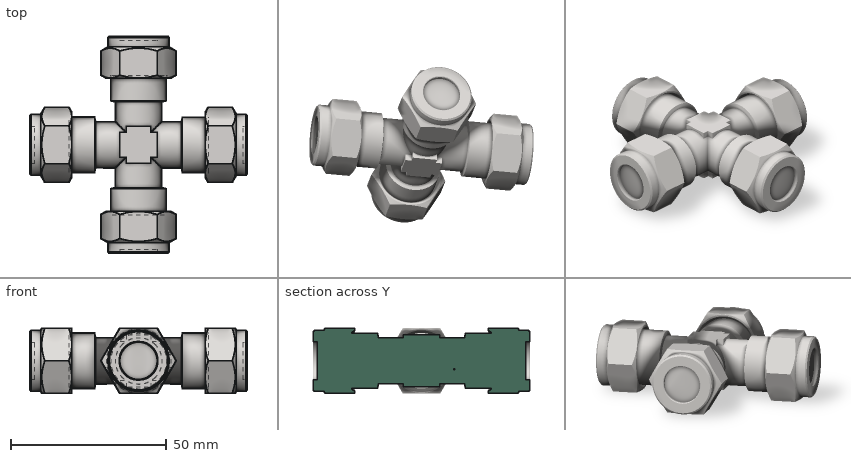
import cadquery as cq
import math

end_distance = 35.0

body_radius = 7.5
shoulder_radius = 8.95
collar_radius = 9.9
bore_radius = 6.0

shoulder_start = 13.8
shoulder_full = 14.15
nut_start = 21.4
nut_end = 31.5

nut_across_flats = 21.0
nut_inner_face_radius = 10.35
nut_outer_face_radius = collar_radius
nut_chamfer_angle = 30.0
nut_recess_radius = 9.8
nut_recess_depth = 1.05

collar_chamfer = 0.5
bore_depth = 1.4
bore_chamfer = 0.2

pad_length = 12.05
pad_width = 8.0
pad_height = 8.4

nut_corner_radius = nut_across_flats / 2 / math.cos(math.radians(30))


def corner_chamfer_height(face_radius):
    """Height of the conical chamfer from the nut face up to the hexagon corner."""
    return (nut_corner_radius - face_radius) * math.tan(math.radians(nut_chamfer_angle))


def revolve_profile(points):
    """Turn a closed (radius, distance along arm) profile around the Z axis."""
    return cq.Workplane("XZ").polyline(points).close().revolve(360, (0, 0, 0), (0, 1, 0))


def make_nut():
    """Hexagon nut along +Z: corners turned off at both ends, conical recess around the shoulder."""
    hexagon = (
        cq.Workplane("XY", origin=(0, 0, nut_start))
        .polygon(6, 2 * nut_corner_radius)
        .extrude(nut_end - nut_start)
    )
    turned_envelope = revolve_profile([
        (0, nut_start),
        (nut_inner_face_radius, nut_start),
        (nut_corner_radius, nut_start + corner_chamfer_height(nut_inner_face_radius)),
        (nut_corner_radius, nut_end - corner_chamfer_height(nut_outer_face_radius)),
        (nut_outer_face_radius, nut_end),
        (0, nut_end),
    ])
    recess = revolve_profile([
        (0, nut_start),
        (nut_recess_radius, nut_start),
        (shoulder_radius, nut_start + nut_recess_depth),
        (0, nut_start + nut_recess_depth),
    ])
    return hexagon.intersect(turned_envelope).cut(recess)


def make_core():
    """Round parts of one arm along +Z: body, shoulder and chamfered end collar."""
    return revolve_profile([
        (0, 0),
        (body_radius, 0),
        (body_radius, shoulder_start),
        (shoulder_radius, shoulder_full),
        (shoulder_radius, nut_end),
        (collar_radius, nut_end),
        (collar_radius, end_distance - collar_chamfer),
        (collar_radius - collar_chamfer, end_distance),
        (0, end_distance),
    ])


def make_bore():
    """Shallow blind bore in the end face, with a chamfered mouth."""
    return revolve_profile([
        (0, end_distance - bore_depth),
        (bore_radius, end_distance - bore_depth),
        (bore_radius, end_distance - bore_chamfer),
        (bore_radius + bore_chamfer, end_distance),
        (0, end_distance),
    ])


def make_pads():
    """Plus-shaped block through the centre whose two ends form the pads."""
    along_x = cq.Workplane("XY").box(pad_length, pad_width, 2 * pad_height)
    along_y = cq.Workplane("XY").box(pad_width, pad_length, 2 * pad_height)
    return along_x.union(along_y)


arm = make_core().union(make_nut()).cut(make_bore()).rotate((0, 0, 0), (1, 0, 0), -90)
result = make_pads()
for arm_angle in (0, 90, 180, 270):
    result = result.union(arm.rotate((0, 0, 0), (0, 0, 1), arm_angle))